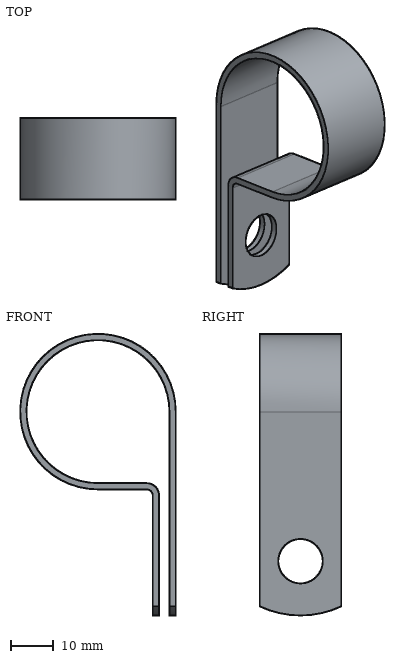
import cadquery as cq
import math

thickness = 1.524
width = 19.05
overall_x = 36.37

outer_radius = overall_x / 2
inner_radius = outer_radius - thickness

leg_gap = 2.36
leg_length = 47.625
bend_inner_radius = 1.45
bend_outer_radius = bend_inner_radius + thickness
tip_radius = 22.225

hole_diameter = 10.32
hole_to_tip = 12.7

short_leg_outer_x = outer_radius - thickness - leg_gap
short_leg_inner_x = short_leg_outer_x - thickness
bend_x = short_leg_outer_x - bend_outer_radius
bend_z = -inner_radius - bend_outer_radius
tip_z = -leg_length
half_width = width / 2
tip_rise = tip_radius - math.sqrt(tip_radius**2 - half_width**2)
diagonal = math.sqrt(0.5)


def bend_point(radius):
    """Middle of the quarter-circle bend between loop and short leg."""
    offset = radius * diagonal
    return (bend_x + offset, bend_z + offset)


def make_strap():
    """Bent strip: long leg, loop, flat, bend and short leg."""
    profile = (
        cq.Workplane("XZ")
        .moveTo(outer_radius, tip_z)
        .lineTo(outer_radius, 0)
        .threePointArc((-outer_radius * diagonal, outer_radius * diagonal), (0, -outer_radius))
        .lineTo(bend_x, -outer_radius)
        .threePointArc(bend_point(bend_inner_radius), (short_leg_inner_x, bend_z))
        .lineTo(short_leg_inner_x, tip_z)
        .lineTo(short_leg_outer_x, tip_z)
        .lineTo(short_leg_outer_x, bend_z)
        .threePointArc(bend_point(bend_outer_radius), (bend_x, -inner_radius))
        .lineTo(0, -inner_radius)
        .threePointArc((-inner_radius * diagonal, inner_radius * diagonal), (inner_radius, 0))
        .lineTo(inner_radius, tip_z)
        .close()
    )
    return profile.extrude(half_width, both=True)


def make_side_envelope():
    """Block with the rounded lower end that shapes both leg tips."""
    return (
        cq.Workplane("YZ")
        .moveTo(-half_width, outer_radius)
        .lineTo(-half_width, tip_z + tip_rise)
        .threePointArc((0, tip_z), (half_width, tip_z + tip_rise))
        .lineTo(half_width, outer_radius)
        .close()
        .extrude(outer_radius, both=True)
    )


def make_screw_hole():
    """Cylinder along X that passes through both legs only."""
    return (
        cq.Workplane("YZ")
        .center(0, tip_z + hole_to_tip)
        .circle(hole_diameter / 2)
        .extrude(outer_radius)
    )


result = make_strap().intersect(make_side_envelope()).cut(make_screw_hole())